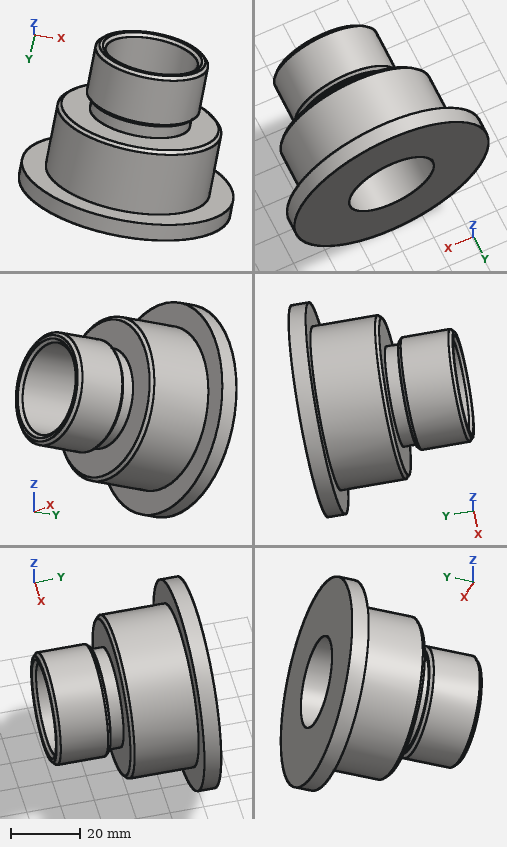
import cadquery as cq

flange_diameter = 62.0
total_length = 45.0

flange_thickness = 5.0
body_diameter = 48.0
body_length = 19.95
neck_diameter = 29.4
neck_length = 4.0
collar_diameter = 33.0
collar_length = total_length - flange_thickness - body_length - neck_length

bore_diameter = 27.05
chamfer = 1.0


def cylinder(diameter, start, length):
    """Solid cylinder along -Y, starting at the given distance from the flange face."""
    return cq.Workplane("XZ", origin=(0, -start, 0)).circle(diameter / 2).extrude(length)


neck_start = flange_thickness + body_length
collar_start = neck_start + neck_length

flange = cylinder(flange_diameter, 0, flange_thickness)
body = cylinder(body_diameter, flange_thickness, body_length).faces("<Y").chamfer(chamfer)
neck = cylinder(neck_diameter, neck_start, neck_length)
collar = cylinder(collar_diameter, collar_start, collar_length).faces("<Y or >Y").chamfer(chamfer)

result = flange.union(body).union(neck).union(collar)
result = result.cut(cylinder(bore_diameter, 0, total_length))
result = result.faces("<Y").edges(cq.selectors.RadiusNthSelector(0)).chamfer(chamfer)